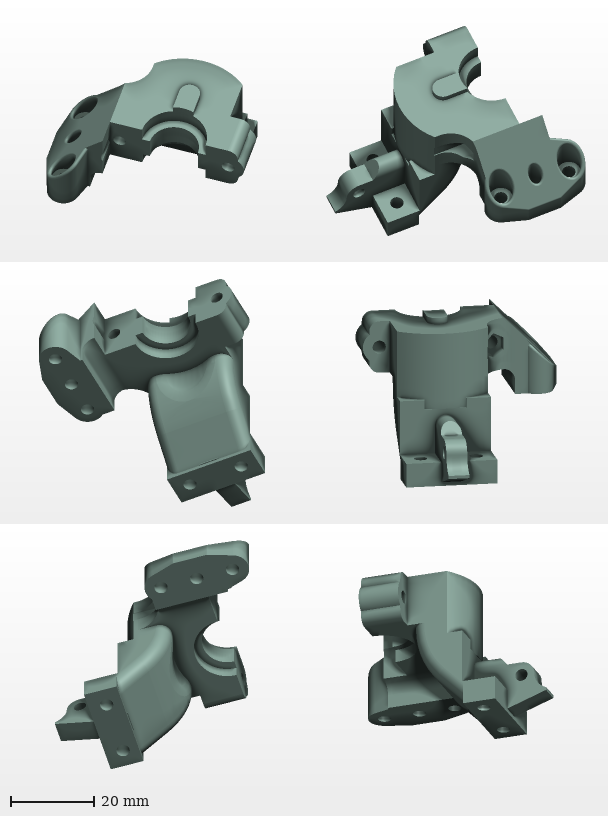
import cadquery as cq
import math

clamp_height = 12.8

bore_radius = 8.0
neck_radius = 6.05
neck_bottom = 3.15
neck_top = 9.05

body_left = -11.15
body_right = 11.1
body_width = body_right - body_left
body_mid = (body_right + body_left) / 2
crown_radius = 17.0
crown_back = 24.3
crown_center_y = crown_back - crown_radius
crown_bottom = -5.9

screw_spacing = 27.3
screw_x = screw_spacing / 2
screw_z = 6.4
screw_diameter = 3.2
head_diameter = 5.7
nut_flats = 5.3
lug_depth = 10.1
lug_right = 16.1
lug_corner = 2.5
lug_boss_radius = 4.0

key_width = 5.1
key_height = 1.55
key_back = 15.4

slope_start = -16.1
arm_bottom = -6.4
arm_left = -30.8
arm_front = -6.05
arm_back = 12.05
arm_side_fillet = 7.0
arm_under_fillet = 3.0
rim_fillet = 0.5
pad_x = -25.0
pad_half_width = pad_x - arm_left
pad_half_length = 4.25
pad_hole_pitch = 9.0
pad_boss_radius = 4.0
pad_hole_diameter = 3.2
pad_bore_diameter = 5.7
pad_bore_floor = -1.6

duct_front = 11.35
duct_straight = 0.5
duct_bend_radius = 20.15
duct_edge_fillet = 3.05
duct_back = 24.1
duct_ledge = -3.55
duct_notch_width = 10.2
relief_radius = 13.1
relief_blend = 6.0

foot_front = 24.35
foot_back = 32.55
foot_top = -16.9
foot_bottom = -22.8
foot_hole_spacing = 13.65
foot_hole_diameter = 3.2
foot_hole_y = 28.15

tab_width = 5.1
rib_top = -7.4
rib_flat_end = 30.1
tab_top = -10.2
hinge_y = 36.15
hinge_radius = 3.3
hinge_hole_diameter = 3.1
tip_y = 42.5
tip_top = -17.7
tip_bottom = -18.45
tab_heel = -21.85

margin = 0.05

slope_face = cq.selectors.DirectionMinMaxSelector(cq.Vector(-1, 0, 1))


def box(x_range, y_range, z_range):
    """Axis-aligned block between the given pairs of limits."""
    size = [high - low for low, high in (x_range, y_range, z_range)]
    corner = (x_range[0], y_range[0], z_range[0])
    return cq.Workplane("XY").box(*size, centered=False).translate(corner)


def cylinder_z(x, y, radius, z_low, z_high):
    """Vertical cylinder between two heights."""
    return cq.Workplane("XY", origin=(x, y, z_low)).circle(radius).extrude(z_high - z_low)


def cylinder_y(x, z, radius, y_low, y_high):
    """Cylinder along Y between two depths."""
    return cq.Workplane("XZ", origin=(x, y_low, z)).circle(radius).extrude(y_low - y_high)


def selection(x_range, y_range, z_range, whole=False):
    """Pick edges centered in the given limits, or only those lying wholly inside them."""
    low, high = zip(x_range, y_range, z_range)
    return cq.selectors.BoxSelector(low, high, boundingbox=whole)


def slope_cutter():
    """Everything above the 45 degree plane that falls away to the left of slope_start."""
    reach = slope_start - arm_left + clamp_height
    half_length = arm_back + clamp_height
    return (
        cq.Workplane("XZ")
        .moveTo(slope_start, clamp_height)
        .lineTo(slope_start - reach, clamp_height - reach)
        .lineTo(slope_start - reach, clamp_height)
        .close()
        .extrude(half_length, both=True)
    )


def crown_y(x):
    """Depth of the arched back of the body at a given X."""
    return crown_center_y + math.sqrt(crown_radius**2 - x**2)


def clamp_body():
    """Upper body with its arched back and the concave corner towards the arm."""
    corner_x = body_left - arm_side_fillet
    corner_y = arm_back + arm_side_fillet
    diagonal = arm_side_fillet * math.sqrt(0.5)
    return (
        cq.Workplane("XY")
        .moveTo(body_right, 0)
        .lineTo(body_right, crown_y(body_right))
        .threePointArc((0, crown_back), (body_left, crown_y(body_left)))
        .lineTo(body_left, corner_y)
        .threePointArc((corner_x + diagonal, corner_y - diagonal), (corner_x, arm_back))
        .lineTo(corner_x, 0)
        .close()
        .extrude(clamp_height)
        .cut(slope_cutter())
    )


def lug():
    """Right-hand screw lug with rounded corners and a round boss around the screw."""
    ear = (
        box((body_mid, lug_right), (0, lug_depth), (0, clamp_height))
        .edges("|Y and >X")
        .fillet(lug_corner)
    )
    return ear.union(cylinder_y(screw_x, screw_z, lug_boss_radius, 0, lug_depth))


def key():
    """Round-ended locating key on the top face."""
    half = key_width / 2
    center_y = key_back - half
    key_top = clamp_height + key_height
    bar = box((-half, half), (0, center_y), (clamp_height, key_top))
    return bar.union(cylinder_z(0, center_y, half, clamp_height, key_top))


def pad():
    """Mounting pad: outline tangent to two end bosses, cut by the slope, with a rounded rim."""
    run = pad_half_length - pad_hole_pitch
    touch = math.atan2(run, pad_half_width) + math.acos(pad_boss_radius / math.hypot(run, pad_half_width))
    touch_x = pad_boss_radius * math.cos(touch)
    touch_y = pad_hole_pitch + pad_boss_radius * math.sin(touch)
    end_y = pad_hole_pitch + pad_boss_radius
    return (
        cq.Workplane("XY", origin=(pad_x, 0, arm_bottom))
        .moveTo(pad_half_width, -pad_half_length)
        .lineTo(pad_half_width, pad_half_length)
        .lineTo(touch_x, touch_y)
        .threePointArc((0, end_y), (-touch_x, touch_y))
        .lineTo(-pad_half_width, pad_half_length)
        .lineTo(-pad_half_width, -pad_half_length)
        .lineTo(-touch_x, -touch_y)
        .threePointArc((0, -end_y), (touch_x, -touch_y))
        .close()
        .extrude(clamp_height - arm_bottom)
        .edges("|Z and <X")
        .fillet(rim_fillet)
        .cut(slope_cutter())
        .faces(slope_face)
        .edges()
        .fillet(rim_fillet)
    )


def arm_web():
    """Web that carries the pad, with a rounded corner underneath."""
    pad_right = pad_x + pad_half_width
    diagonal = arm_under_fillet * (1 - math.sqrt(0.5))
    return (
        cq.Workplane("XZ", origin=(0, arm_back, 0))
        .moveTo(slope_start, clamp_height)
        .lineTo(pad_x, clamp_height + pad_x - slope_start)
        .lineTo(pad_x, arm_bottom)
        .lineTo(pad_right, arm_bottom)
        .lineTo(pad_right, -arm_under_fillet)
        .threePointArc((pad_right + diagonal, -diagonal), (pad_right + arm_under_fillet, 0))
        .lineTo(slope_start, 0)
        .close()
        .extrude(arm_back - arm_front)
    )


def arm():
    """Pad and web with two counterbored holes and a plain hole between them."""
    body = pad().union(arm_web())
    rim_z = clamp_height + pad_x - slope_start
    holes = (
        (-pad_hole_pitch, pad_bore_diameter, pad_bore_floor),
        (0, pad_hole_diameter, arm_bottom),
        (pad_hole_pitch, pad_bore_diameter, pad_bore_floor),
    )
    for y, diameter, floor in holes:
        body = body.cut(cylinder_z(pad_x, y, diameter / 2, floor, clamp_height))
        body = body.cut(cylinder_z(pad_x, y, pad_hole_diameter / 2, arm_bottom, clamp_height))
        reach = diameter / 2 + margin
        around = [(center - reach, center + reach) for center in (pad_x, y, rim_z)]
        body = body.faces(slope_face).edges(selection(*around, whole=True)).fillet(rim_fillet)
    return body


def duct():
    """Curved duct under the body with rounded front edges and a round relief below the bore."""
    bend = math.radians(45)
    center_y = duct_front + duct_bend_radius
    mid = (
        center_y - duct_bend_radius * math.cos(bend / 2),
        -duct_straight - duct_bend_radius * math.sin(bend / 2),
    )
    end_y = center_y - duct_bend_radius * math.cos(bend)
    end_z = -duct_straight - duct_bend_radius * math.sin(bend)
    shell = (
        cq.Workplane("YZ", origin=(body_left, 0, 0))
        .moveTo(duct_front, 0)
        .lineTo(duct_front, -duct_straight)
        .threePointArc(mid, (end_y, end_z))
        .lineTo(foot_front, end_z - (foot_front - end_y))
        .lineTo(foot_front, foot_top)
        .lineTo(duct_back, foot_top)
        .lineTo(duct_back, 0)
        .close()
        .extrude(body_width)
    )

    relief = cylinder_z(0, 0, relief_radius, foot_bottom, 0)
    below_top = (foot_bottom, -margin)
    relief_rim = selection((-relief_radius, relief_radius), (0, duct_back - margin), below_top)
    shell = shell.cut(relief).edges(relief_rim).edges("%BSPLINE").fillet(relief_blend)

    side_edges = selection(
        (body_left - margin, body_right + margin), (duct_front - margin, duct_back - margin), below_top
    )
    shell = shell.edges(side_edges).edges("<X or >X").fillet(duct_edge_fillet)

    crown = cylinder_z(0, crown_center_y, crown_radius, crown_bottom, 0)
    half_notch = duct_notch_width / 2
    behind = (relief_radius + duct_edge_fillet, foot_back)
    clearance = box((body_left, body_right), behind, (duct_ledge, 0))
    notch = box((-half_notch, half_notch), behind, (crown_bottom, 0))
    return shell.cut(clearance.union(notch).cut(crown)).union(crown.intersect(notch))


def foot():
    """Foot block with two vertical screw holes."""
    block = box((body_left, body_right), (foot_front, foot_back), (foot_bottom, foot_top))
    for x in (-foot_hole_spacing / 2, foot_hole_spacing / 2):
        block = block.cut(cylinder_z(x, foot_hole_y, foot_hole_diameter / 2, foot_bottom, foot_top))
    return block


def hinge_tab():
    """Round-topped rib that runs into a flat hinge tab with a pointed tip."""
    half = tab_width / 2
    plate = (
        cq.Workplane("YZ", origin=(-half, 0, 0))
        .moveTo(duct_back, tab_top)
        .lineTo(hinge_y, tab_top)
        .radiusArc((hinge_y + hinge_radius, tab_top - hinge_radius), hinge_radius)
        .tangentArcPoint((tip_y, tip_top), relative=False)
        .lineTo(tip_y, tip_bottom)
        .lineTo(foot_back, tab_heel)
        .lineTo(duct_back, tab_heel)
        .close()
        .extrude(tab_width)
    )
    rib_axis = rib_top - half
    rib = cylinder_y(0, rib_axis, half, duct_back, foot_back).union(
        box((-half, half), (duct_back, foot_back), (tab_top, rib_axis))
    )
    slant = (
        cq.Workplane("YZ", origin=(-half, 0, 0))
        .moveTo(rib_flat_end, rib_top)
        .lineTo(foot_back, tab_top)
        .lineTo(foot_back, rib_top)
        .close()
        .extrude(tab_width)
    )
    pin = (
        cq.Workplane("YZ", origin=(-half, hinge_y, tab_top - hinge_radius))
        .circle(hinge_hole_diameter / 2)
        .extrude(tab_width)
    )
    return plate.union(rib.cut(slant)).cut(pin)


def bore():
    """Stepped half bore with a narrower neck between two wide ends."""
    wide_top = cylinder_z(0, 0, bore_radius, neck_top, clamp_height + key_height)
    wide_bottom = cylinder_z(0, 0, bore_radius, 0, neck_bottom)
    return wide_top.union(wide_bottom).union(cylinder_z(0, 0, neck_radius, 0, clamp_height))


def clamp_screws():
    """Two screw holes, a head clearance through the arm and a hexagonal nut pocket."""
    nut_corners = nut_flats / math.cos(math.radians(30))
    nut = (
        cq.Workplane("XZ", origin=(-screw_x, lug_depth, screw_z))
        .transformed(rotate=(0, 0, 90))
        .polygon(6, nut_corners)
        .extrude(lug_depth - foot_back)
    )
    head = cylinder_y(-screw_x, screw_z, head_diameter / 2, arm_front, 0)
    left = cylinder_y(-screw_x, screw_z, screw_diameter / 2, 0, lug_depth)
    right = cylinder_y(screw_x, screw_z, screw_diameter / 2, 0, lug_depth)
    return nut.union(head).union(left).union(right)


result = (
    clamp_body()
    .union(arm())
    .union(lug())
    .union(key())
    .cut(bore())
    .cut(clamp_screws())
    .union(duct())
    .union(foot())
    .union(hinge_tab())
)